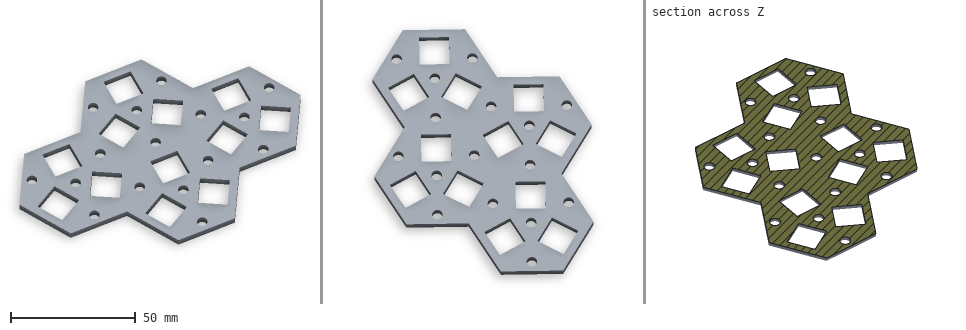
import cadquery as cq
import math

hex_width = 43.3
thickness = 3.0
hole_diameter = 4.2
hole_radius = 17.5
window_size = 12.0
window_radius = 12.2

corner_diameter = 2 * hex_width / math.sqrt(3)
column_step = 0.75 * corner_diameter
row_step = hex_width

hex_centers = [
    (
        (column - 0.5) * column_step,
        (row - 0.5) * row_step + (column - 0.5) * row_step / 2,
    )
    for column in range(2)
    for row in range(2)
]

hole_angles = [90, 210, 330]
window_angles = [30, 150, 270]


def polar_point(center, radius, angle):
    """Point at a radius and angle (degrees) from a hexagon centre."""
    x, y = center
    return (
        x + radius * math.cos(math.radians(angle)),
        y + radius * math.sin(math.radians(angle)),
    )


def make_plate():
    """Four touching hexagons joined into one plate."""
    plate = cq.Workplane("XY")
    for center in hex_centers:
        tile = cq.Workplane("XY").center(*center).polygon(6, corner_diameter).extrude(thickness)
        plate = plate.union(tile)
    return plate.clean()


def make_holes():
    """A central hole and three outer holes in each hexagon."""
    points = []
    for center in hex_centers:
        points.append(center)
        points += [polar_point(center, hole_radius, angle) for angle in hole_angles]
    return cq.Workplane("XY").pushPoints(points).circle(hole_diameter / 2).extrude(thickness)


def make_windows():
    """Square windows, each turned to face its hexagon centre."""
    windows = cq.Workplane("XY")
    for center in hex_centers:
        for angle in window_angles:
            x, y = polar_point(center, window_radius, angle)
            window = (
                cq.Workplane("XY")
                .rect(window_size, window_size)
                .extrude(thickness)
                .rotate((0, 0, 0), (0, 0, 1), angle)
                .translate((x, y, 0))
            )
            windows = windows.union(window)
    return windows


result = make_plate().cut(make_holes()).cut(make_windows())